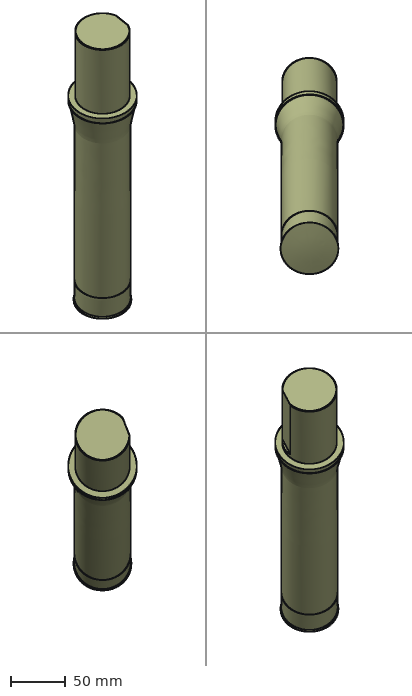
import cadquery as cq
import math

total_length = 333.0

tip_radius = 26.47
dome_height = 2.0
tip_height = 4.0

body_radius = 25.5
sleeve_radius = 25.8
groove_radius = 25.47
groove_bottom = 24.0
groove_top = 27.0
sleeve_top = 130.0
neck_bottom = 212.5
neck_top = 217.8
flare_bottom = 223.0
flare_start_radius = 26.3
collar_radius = 31.3
collar_edge_radius = 30.5
collar_bottom = 247.5
collar_top = 253.7

shank_radius = 25.0
shank_chamfer = 0.5
flat_distance = 23.0
flat_start = 258.7
flat_runout = 1.5


def make_tip():
    """Disc with a shallow domed end and a flared edge."""
    dome_radius = (tip_radius**2 + dome_height**2) / (2 * dome_height)
    mid_radius = tip_radius / 2
    mid_height = dome_radius - math.sqrt(dome_radius**2 - mid_radius**2)
    return (
        cq.Workplane("XZ")
        .moveTo(0, 0)
        .threePointArc((mid_radius, mid_height), (tip_radius, dome_height))
        .lineTo(body_radius, tip_height)
        .lineTo(0, tip_height)
        .close()
        .revolve(360, (0, 0, 0), (0, 1, 0))
    )


def make_turned_body():
    """Body, flare, collar and round shank as one turned profile."""
    flare_slope = (collar_edge_radius - flare_start_radius, collar_bottom - flare_bottom)
    return (
        cq.Workplane("XZ")
        .moveTo(0, tip_height)
        .lineTo(body_radius, tip_height)
        .lineTo(body_radius, groove_bottom)
        .lineTo(groove_radius, groove_top)
        .lineTo(sleeve_radius, groove_top)
        .lineTo(sleeve_radius, sleeve_top)
        .lineTo(body_radius, neck_bottom)
        .lineTo(body_radius, neck_top)
        .spline([(flare_start_radius, flare_bottom)], tangents=[(0, 1), flare_slope], includeCurrent=True)
        .lineTo(collar_edge_radius, collar_bottom)
        .lineTo(collar_radius, collar_bottom)
        .lineTo(collar_radius, collar_top)
        .lineTo(shank_radius, collar_top)
        .lineTo(shank_radius, total_length - shank_chamfer)
        .lineTo(shank_radius - shank_chamfer, total_length)
        .lineTo(0, total_length)
        .close()
        .revolve(360, (0, 0, 0), (0, 1, 0))
    )


def make_flat_cutter():
    """Prism that mills the clamping flat, with a sloped lower end."""
    return (
        cq.Workplane("YZ")
        .moveTo(flat_distance, total_length)
        .lineTo(flat_distance, flat_start)
        .lineTo(shank_radius, flat_start - flat_runout)
        .lineTo(shank_radius, total_length)
        .close()
        .extrude(shank_radius, both=True)
    )


tip = make_tip()
tool_body = make_turned_body().cut(make_flat_cutter()).solids()

result = cq.Compound.makeCompound([tip.val(), tool_body.val()])